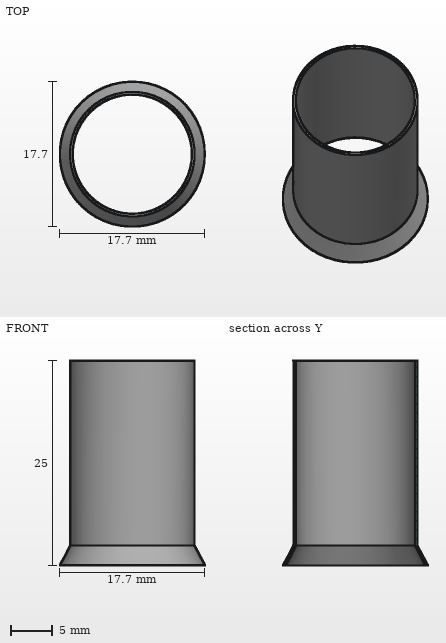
import cadquery as cq

total_height = 25.0
tube_outer_diameter = 15.2
wall_thickness = 0.35
flare_outer_diameter = 17.7
flare_height = 2.45
rim_height = 0.1

tube_outer_radius = tube_outer_diameter / 2
tube_inner_radius = tube_outer_radius - wall_thickness
flare_outer_radius = flare_outer_diameter / 2
flare_inner_radius = flare_outer_radius - wall_thickness

section = (
    cq.Workplane("XZ")
    .moveTo(flare_inner_radius, 0)
    .lineTo(flare_outer_radius, 0)
    .lineTo(flare_outer_radius, rim_height)
    .lineTo(tube_outer_radius, flare_height)
    .lineTo(tube_outer_radius, total_height)
    .lineTo(tube_inner_radius, total_height)
    .lineTo(tube_inner_radius, flare_height)
    .close()
)

result = section.revolve(360, (0, 0, 0), (0, 1, 0))